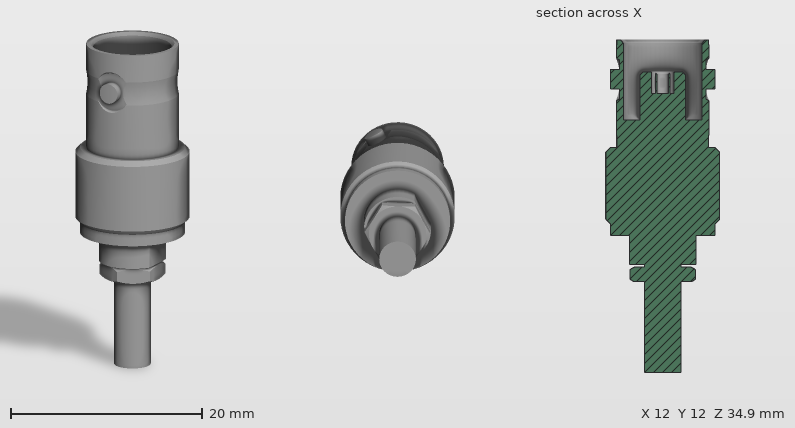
import cadquery as cq
import math

TOTAL_HEIGHT = 34.85

BARREL_RADIUS = 4.85
GROOVE_RADIUS = 4.7
GROOVE_CENTER_Z = 30.7
GROOVE_HALF_WIDTH = 1.25

PIN_RADIUS = 1.05
PIN_REACH = 5.47
SEAT_FLOOR_RADIUS = 2.02
SEAT_RIM_RADIUS = 2.2
SEAT_DISTANCE = 4.53

COLLAR_RADIUS = 6.0
COLLAR_TOP = 23.6
COLLAR_BOTTOM = 15.58
COLLAR_CHAMFER = 0.5
FLANGE_RADIUS = COLLAR_RADIUS - COLLAR_CHAMFER
FLANGE_BOTTOM = 14.32

WRENCH_WIDTH = 6.0
BODY_RADIUS = 3.52
BODY_BOTTOM = 11.3

NUT_TOP = 11.08
NUT_BOTTOM = 9.5
NUT_CHAMFER_ANGLE = 30
NUT_CORNER_RADIUS = WRENCH_WIDTH / math.sqrt(3)

TAIL_RADIUS = 1.9

BORE_RADIUS = 4.1
BORE_FLOOR = 26.5
BORE_CHAMFER_WIDTH = 0.28
BORE_CHAMFER_DEPTH = 0.35

INSULATOR_RADIUS = 2.4
INSULATOR_TOP = 31.5
INSULATOR_CHAMFER = 0.3

CLEARANCE_RADIUS = 1.15
CLEARANCE_FLOOR = 29.27
CONTACT_RADIUS = 0.8
CONTACT_RECESS = 0.1
SOCKET_RADIUS = 0.55
SOCKET_CHAMFER = 0.17


def cylinder(radius, bottom, top):
    return cq.Workplane("XY", origin=(0, 0, bottom)).circle(radius).extrude(top - bottom)


def revolve_about_axis(outline):
    return outline.close().revolve(360, (0, 0, 0), (0, 1, 0))


def make_barrel():
    """Barrel with one shallow arc around it as the bayonet groove."""
    outline = (
        cq.Workplane("XZ")
        .moveTo(0, COLLAR_BOTTOM)
        .lineTo(BARREL_RADIUS, COLLAR_BOTTOM)
        .lineTo(BARREL_RADIUS, GROOVE_CENTER_Z - GROOVE_HALF_WIDTH)
        .threePointArc(
            (GROOVE_RADIUS, GROOVE_CENTER_Z),
            (BARREL_RADIUS, GROOVE_CENTER_Z + GROOVE_HALF_WIDTH),
        )
        .lineTo(BARREL_RADIUS, TOTAL_HEIGHT)
        .lineTo(0, TOTAL_HEIGHT)
    )
    return revolve_about_axis(outline)


def cut_pin_seats(barrel):
    """Sink a flat circular seat with a flared wall into the -Y and +Y sides of the barrel."""
    depth = BARREL_RADIUS - SEAT_DISTANCE
    flare_angle = math.degrees(math.atan2(SEAT_RIM_RADIUS - SEAT_FLOOR_RADIUS, depth))
    for side in (-1, 1):
        seat = (
            cq.Workplane("XZ", origin=(0, side * SEAT_DISTANCE, GROOVE_CENTER_Z))
            .circle(SEAT_FLOOR_RADIUS)
            .extrude(-side * depth, taper=-flare_angle)
        )
        barrel = barrel.cut(seat)
    return barrel


def make_pins():
    """Cross pin through the barrel, its ends rounded about the connector axis."""
    pin = (
        cq.Workplane("XZ", origin=(0, 0, GROOVE_CENTER_Z))
        .circle(PIN_RADIUS)
        .extrude(COLLAR_RADIUS, both=True)
    )
    return pin.intersect(cylinder(PIN_REACH, FLANGE_BOTTOM, TOTAL_HEIGHT))


def make_collar():
    collar = cylinder(COLLAR_RADIUS, COLLAR_BOTTOM, COLLAR_TOP)
    collar = collar.faces("<Z or >Z").chamfer(COLLAR_CHAMFER)
    return collar.union(cylinder(FLANGE_RADIUS, FLANGE_BOTTOM, COLLAR_BOTTOM))


def make_body():
    flats = (
        cq.Workplane("XY", origin=(0, 0, BODY_BOTTOM))
        .rect(WRENCH_WIDTH, 2 * BODY_RADIUS)
        .extrude(FLANGE_BOTTOM - BODY_BOTTOM)
    )
    return cylinder(BODY_RADIUS, BODY_BOTTOM, FLANGE_BOTTOM).intersect(flats)


def make_nut():
    """Hexagon whose corners are turned off conically at both ends."""
    face_radius = WRENCH_WIDTH / 2
    corner_drop = (NUT_CORNER_RADIUS - face_radius) * math.tan(math.radians(NUT_CHAMFER_ANGLE))
    hexagon = (
        cq.Workplane("XY", origin=(0, 0, NUT_BOTTOM))
        .transformed(rotate=(0, 0, 90))
        .polygon(6, 2 * NUT_CORNER_RADIUS)
        .extrude(NUT_TOP - NUT_BOTTOM)
    )
    turned_outline = cq.Workplane("XZ").polyline([
        (0, NUT_BOTTOM),
        (face_radius, NUT_BOTTOM),
        (NUT_CORNER_RADIUS, NUT_BOTTOM + corner_drop),
        (NUT_CORNER_RADIUS, NUT_TOP - corner_drop),
        (face_radius, NUT_TOP),
        (0, NUT_TOP),
    ])
    return hexagon.intersect(revolve_about_axis(turned_outline))


def make_bore():
    outline = cq.Workplane("XZ").polyline([
        (0, BORE_FLOOR),
        (BORE_RADIUS, BORE_FLOOR),
        (BORE_RADIUS, TOTAL_HEIGHT - BORE_CHAMFER_DEPTH),
        (BORE_RADIUS + BORE_CHAMFER_WIDTH, TOTAL_HEIGHT),
        (0, TOTAL_HEIGHT),
    ])
    return revolve_about_axis(outline)


def make_insulator():
    insulator = cylinder(INSULATOR_RADIUS, BORE_FLOOR, INSULATOR_TOP).faces(">Z").chamfer(INSULATOR_CHAMFER)
    clearance = cylinder(CLEARANCE_RADIUS, CLEARANCE_FLOOR, INSULATOR_TOP)
    return insulator.cut(clearance)


def make_contact():
    """Rod from the bore floor; its chamfered blind socket ends level with the clearance hole."""
    contact_top = INSULATOR_TOP - CONTACT_RECESS
    outline = cq.Workplane("XZ").polyline([
        (0, BORE_FLOOR),
        (CONTACT_RADIUS, BORE_FLOOR),
        (CONTACT_RADIUS, contact_top),
        (SOCKET_RADIUS + SOCKET_CHAMFER, contact_top),
        (SOCKET_RADIUS, contact_top - SOCKET_CHAMFER),
        (SOCKET_RADIUS, CLEARANCE_FLOOR),
        (0, CLEARANCE_FLOOR),
    ])
    return revolve_about_axis(outline)


shell = cut_pin_seats(make_barrel()).union(make_pins()).cut(make_bore()).union(make_collar())
insulator = make_insulator().union(make_contact())
tail = cylinder(TAIL_RADIUS, 0, FLANGE_BOTTOM)

result = shell.union(insulator).union(make_body()).union(make_nut()).union(tail)